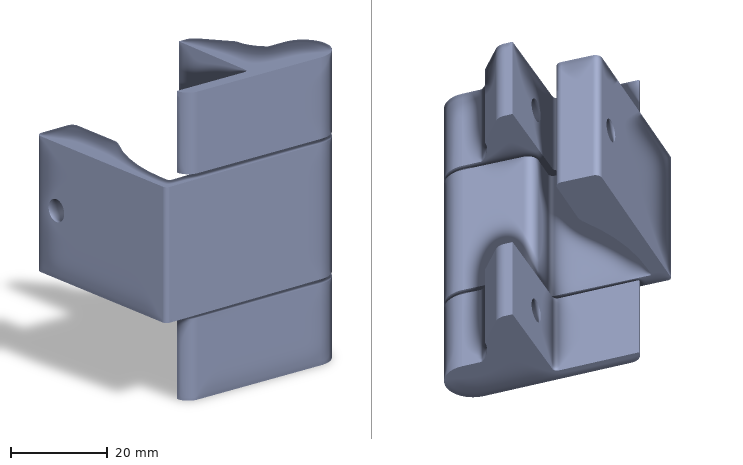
import cadquery as cq
import math


TOTAL_HEIGHT = 68.0
MIDDLE_HEIGHT = 30.0
OUTER_HEIGHT = 18.0
GAP = (TOTAL_HEIGHT - MIDDLE_HEIGHT - 2 * OUTER_HEIGHT) / 2

KNUCKLE_RADIUS = 6.0
SPACER_RADIUS = 4.95
SCREW_HOLE_DIAMETER = 5.0
INNER_CORNER_RADIUS = 1.0

TOTAL_WIDTH = 42.0
TOTAL_DEPTH = 48.0
MIDDLE_WALL = 3.05
FOOT_LEFT = KNUCKLE_RADIUS - TOTAL_WIDTH
FOOT_BOTTOM = KNUCKLE_RADIUS - TOTAL_DEPTH
FOOT_THICKNESS = 10.0
FOOT_TOP = FOOT_BOTTOM + FOOT_THICKNESS
FLOOR_THICKNESS = 3.4
FLOOR_Y = FOOT_BOTTOM + FLOOR_THICKNESS
SCOOP_RADIUS = 40.0
SCOOP_START_X = 0.5
FOOT_BLEND_RADIUS = 4.0
FOOT_CORNER_RADIUS = 1.5
HEEL_RADIUS = 1.0
FLOOR_CORNER_RADIUS = 0.5
SHOULDER_Y = -16.0
SHOULDER_RADIUS = 2.4
MIDDLE_HOLE_FROM_LEFT = 6.6

OUTER_SWING = -1.0
OUTER_WALL = 3.0
OUTER_WALL_END = -36.0
FLANGE_LEFT = -20.0
FLANGE_Y = -17.0
KNUCKLE_NOTCH_Y = -4.4
NOTCH_EDGE_RADIUS = 0.7
HOLLOW_RADIUS = 9.0
HOLLOW_END_X = -12.5
HOLLOW_END_Y = -7.75
BEVEL_ANGLE = 38.5
FLANGE_NOSE_RADIUS = 3.0
OUTER_HOLE_X = -7.0
OUTER_HOLE_DEPTH = 8.0
DRILL_POINT_ANGLE = 118.0


def round_edge(body, x, y, radius):
    """Round the upright edge that stands at (x, y)."""
    return body.edges(cq.selectors.NearestToPointSelector((x, y, 0))).fillet(radius)


def make_middle_leaf():
    """Knuckle, wall and scooped foot in one extrusion, with a screw hole through the foot."""
    wall_x = KNUCKLE_RADIUS - MIDDLE_WALL
    scoop_rise = FOOT_TOP - FLOOR_Y
    scoop_run = math.sqrt(scoop_rise * (2 * SCOOP_RADIUS - scoop_rise))
    scoop_end_x = SCOOP_START_X - scoop_run
    leaf = (
        cq.Workplane("XY")
        .workplane(offset=-MIDDLE_HEIGHT / 2)
        .moveTo(KNUCKLE_RADIUS, 0)
        .threePointArc((0, KNUCKLE_RADIUS), (-KNUCKLE_RADIUS, 0))
        .lineTo(-KNUCKLE_RADIUS, SHOULDER_Y)
        .lineTo(wall_x, SHOULDER_Y)
        .lineTo(wall_x, FLOOR_Y)
        .lineTo(SCOOP_START_X, FLOOR_Y)
        .radiusArc((scoop_end_x, FOOT_TOP), SCOOP_RADIUS)
        .lineTo(FOOT_LEFT, FOOT_TOP)
        .lineTo(FOOT_LEFT, FOOT_BOTTOM)
        .lineTo(KNUCKLE_RADIUS, FOOT_BOTTOM)
        .close()
        .extrude(MIDDLE_HEIGHT)
    )
    rounded_edges = [
        (-KNUCKLE_RADIUS, SHOULDER_Y, SHOULDER_RADIUS),
        (wall_x, SHOULDER_Y, INNER_CORNER_RADIUS),
        (wall_x, FLOOR_Y, FLOOR_CORNER_RADIUS),
        (scoop_end_x, FOOT_TOP, FOOT_BLEND_RADIUS),
        (FOOT_LEFT, FOOT_TOP, FOOT_CORNER_RADIUS),
        (FOOT_LEFT, FOOT_BOTTOM, FOOT_CORNER_RADIUS),
        (KNUCKLE_RADIUS, FOOT_BOTTOM, HEEL_RADIUS),
    ]
    for x, y, radius in rounded_edges:
        leaf = round_edge(leaf, x, y, radius)
    screw_hole = (
        cq.Workplane("XZ", origin=(FOOT_LEFT + MIDDLE_HOLE_FROM_LEFT, FOOT_BOTTOM, 0))
        .circle(SCREW_HOLE_DIAMETER / 2)
        .extrude(-FOOT_THICKNESS)
    )
    return leaf.cut(screw_hole)


def make_blind_hole():
    """Cutter for a drilled hole that enters the flange along +Y and ends in a cone."""
    radius = SCREW_HOLE_DIAMETER / 2
    tip_length = radius / math.tan(math.radians(DRILL_POINT_ANGLE / 2))
    return (
        cq.Workplane("XY")
        .lineTo(radius, 0)
        .lineTo(radius, OUTER_HOLE_DEPTH)
        .lineTo(0, OUTER_HOLE_DEPTH + tip_length)
        .close()
        .revolve(360, (0, 0), (0, 1))
        .translate((OUTER_HOLE_X, FLANGE_Y, 0))
    )


def make_outer_leaf(centre_z):
    """Knuckle, thick flange with a hollowed back, and a wall with a rounded end."""
    wall_x = KNUCKLE_RADIUS - OUTER_WALL
    bevel_drop = (HOLLOW_END_X - FLANGE_LEFT) * math.tan(math.radians(BEVEL_ANGLE))
    nose_y = HOLLOW_END_Y - bevel_drop
    leaf = (
        cq.Workplane("XY")
        .workplane(offset=-OUTER_HEIGHT / 2)
        .moveTo(KNUCKLE_RADIUS, 0)
        .threePointArc((0, KNUCKLE_RADIUS), (-KNUCKLE_RADIUS, 0))
        .lineTo(-KNUCKLE_RADIUS, KNUCKLE_NOTCH_Y)
        .radiusArc((HOLLOW_END_X, HOLLOW_END_Y), HOLLOW_RADIUS)
        .lineTo(FLANGE_LEFT, nose_y)
        .lineTo(FLANGE_LEFT, FLANGE_Y)
        .lineTo(wall_x, FLANGE_Y)
        .lineTo(wall_x, OUTER_WALL_END)
        .radiusArc((KNUCKLE_RADIUS, OUTER_WALL_END + OUTER_WALL), -OUTER_WALL)
        .close()
        .extrude(OUTER_HEIGHT)
    )
    rounded_edges = [
        (-KNUCKLE_RADIUS, KNUCKLE_NOTCH_Y, NOTCH_EDGE_RADIUS),
        (FLANGE_LEFT, nose_y, FLANGE_NOSE_RADIUS),
        (wall_x, FLANGE_Y, INNER_CORNER_RADIUS),
    ]
    for x, y, radius in rounded_edges:
        leaf = round_edge(leaf, x, y, radius)
    leaf = leaf.cut(make_blind_hole())
    return leaf.rotate((0, 0, 0), (0, 0, 1), OUTER_SWING).translate((0, 0, centre_z))


def make_spacer(centre_z):
    """Round disc on the hinge axis that fills the gap between two knuckles."""
    return cq.Workplane("XY", origin=(0, 0, centre_z - GAP / 2)).circle(SPACER_RADIUS).extrude(GAP)


outer_z = (TOTAL_HEIGHT - OUTER_HEIGHT) / 2
spacer_z = (MIDDLE_HEIGHT + GAP) / 2

middle_leaf = make_middle_leaf()
outer_leaves = [make_outer_leaf(side * outer_z) for side in (-1, 1)]
spacers = [make_spacer(side * spacer_z) for side in (-1, 1)]

bodies = [middle_leaf, *outer_leaves, *spacers]
result = cq.Compound.makeCompound([body.val() for body in bodies])